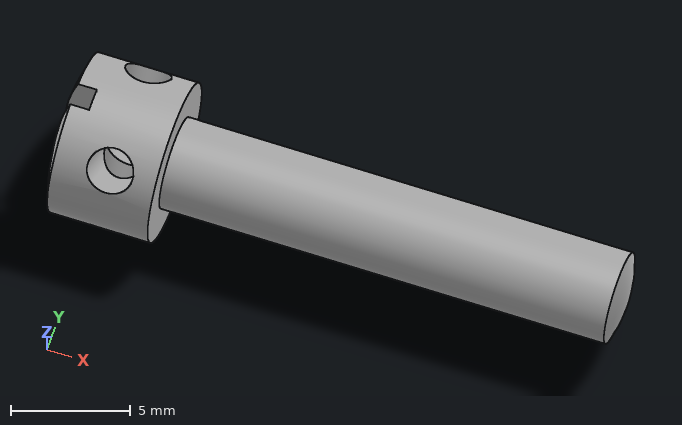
import cadquery as cq
import math

head_diameter = 7.0
head_height = 5.0
head_dome_radius = 11.0
shank_diameter = 4.0
shank_straight_length = 19.6
tip_dome_radius = 5.6
slot_width = 1.0
slot_depth = 1.4
cross_hole_diameter = 2.0
cross_hole_distance = 2.0
cross_hole_angles = (45.0, -45.0)

head_radius = head_diameter / 2
shank_radius = shank_diameter / 2


def dome_height(sphere_radius, rim_radius):
    """Height of a spherical cap above its circular rim."""
    return sphere_radius - math.sqrt(sphere_radius**2 - rim_radius**2)


def make_body():
    """Domed head and round-tipped shank, revolved about the X axis."""
    head_rim_x = -head_height + dome_height(head_dome_radius, head_radius)
    tip_x = shank_straight_length + dome_height(tip_dome_radius, shank_radius)
    head_mid_r = head_radius / 2
    head_mid_x = -head_height + dome_height(head_dome_radius, head_mid_r)
    tip_mid_r = shank_radius / 2
    tip_mid_x = tip_x - dome_height(tip_dome_radius, tip_mid_r)
    return (
        cq.Workplane("XY")
        .moveTo(-head_height, 0)
        .threePointArc((head_mid_x, head_mid_r), (head_rim_x, head_radius))
        .lineTo(0, head_radius)
        .lineTo(0, shank_radius)
        .lineTo(shank_straight_length, shank_radius)
        .threePointArc((tip_mid_x, tip_mid_r), (tip_x, 0))
        .close()
        .revolve(360, (0, 0, 0), (1, 0, 0))
    )


def make_slot():
    """Driver slot across the domed face, running along Z."""
    return (
        cq.Workplane("XY")
        .box(slot_depth, slot_width, head_diameter, centered=(False, True, True))
        .translate((-head_height, 0, 0))
    )


def make_cross_hole(angle):
    """Tommy-bar hole passing right through the head, square to the screw axis."""
    return (
        cq.Workplane("XY")
        .circle(cross_hole_diameter / 2)
        .extrude(head_radius, both=True)
        .rotate((0, 0, 0), (1, 0, 0), angle)
        .translate((-cross_hole_distance, 0, 0))
    )


result = make_body().cut(make_slot())
for hole_angle in cross_hole_angles:
    result = result.cut(make_cross_hole(hole_angle))